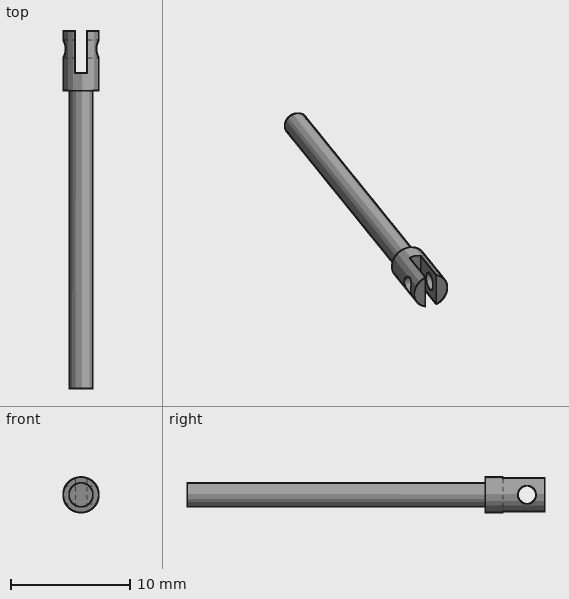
import cadquery as cq

total_length = 30.0
head_diameter = 3.0
head_length = 5.0
shaft_diameter = 2.0

slot_width = 1.0
slot_depth = 3.5
hole_diameter = 1.5
hole_to_tip = 1.5

shaft_end_y = -total_length / 2
tip_y = total_length / 2


def rod(diameter, start_y, length):
    """Cylinder on the Y axis, growing toward +Y from start_y."""
    base = cq.Workplane("XZ", origin=(0, start_y, 0))
    return base.circle(diameter / 2).extrude(-length)


def fork_slot():
    """Slot through the full head height, open at the tip."""
    slot = cq.Workplane("XY").box(slot_width, slot_depth, head_diameter)
    return slot.translate((0, tip_y - slot_depth / 2, 0))


def cross_hole():
    """Hole along X through both fork arms."""
    base = cq.Workplane("YZ").center(tip_y - hole_to_tip, 0)
    return base.circle(hole_diameter / 2).extrude(head_diameter / 2, both=True)


shaft = rod(shaft_diameter, shaft_end_y, total_length - head_length)
head = rod(head_diameter, tip_y - head_length, head_length)

result = shaft.union(head).cut(fork_slot()).cut(cross_hole())